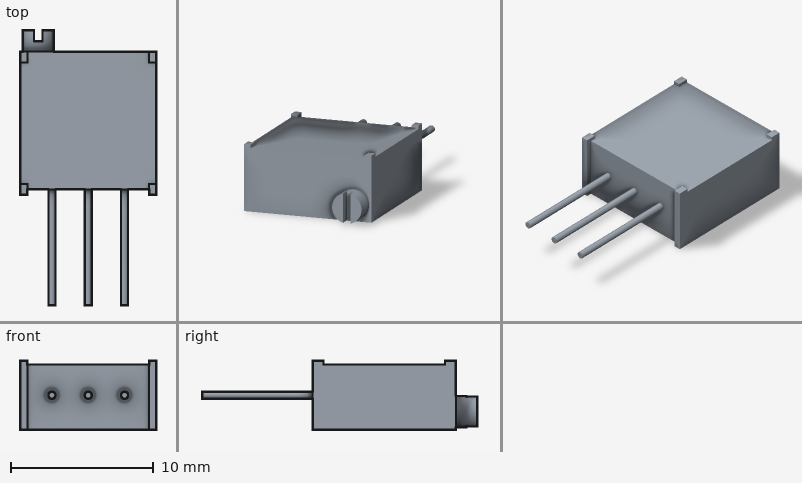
import cadquery as cq

overall_length = 19.27
housing_width = 9.54
housing_length = 10.04
housing_height = 4.84

corner_width = 0.5
foot_length = 0.77
foot_height = 0.25
front_recess = 0.39

screw_diameter = 2.2
screw_length = 1.5
screw_edge_offset = 1.27
slot_width = 0.58
slot_depth = 0.77

pin_count = 3
pin_diameter = 0.5
pin_pitch = 2.55
pin_height = housing_height / 2

half_width = housing_width / 2
top_face = housing_height - foot_height
pin_length = overall_length - screw_length - housing_length + front_recess
screw_end = housing_length + screw_length


def corner_box(x_min, y_min, z_min, width, length, height):
    """Box placed by its lowest corner."""
    box = cq.Workplane("XY").box(width, length, height, centered=False)
    return box.translate((x_min, y_min, z_min))


def make_housing():
    """Block with two front rails and a standoff foot on each top corner."""
    block_length = housing_length - front_recess
    housing = corner_box(-half_width, front_recess, 0, housing_width, block_length, top_face)
    for x_min in (-half_width, half_width - corner_width):
        rail = corner_box(x_min, 0, 0, corner_width, front_recess, top_face)
        housing = housing.union(rail)
        for y_min in (0, housing_length - foot_length):
            foot = corner_box(x_min, y_min, top_face, corner_width, foot_length, foot_height)
            housing = housing.union(foot)
    return housing.clean()


def make_y_cylinder(diameter, length, x, y_min, z):
    """Cylinder running in +Y from y_min."""
    return cq.Workplane(
        cq.Solid.makeCylinder(diameter / 2, length, cq.Vector(x, y_min, z), cq.Vector(0, 1, 0))
    )


def make_screw():
    """Round adjusting screw with a vertical screwdriver slot in its end."""
    screw_x = -half_width + screw_edge_offset
    screw = make_y_cylinder(screw_diameter, screw_length, screw_x, housing_length, screw_edge_offset)
    slot = corner_box(
        screw_x - slot_width / 2,
        screw_end - slot_depth,
        screw_edge_offset - screw_diameter / 2,
        slot_width,
        slot_depth,
        screw_diameter,
    )
    return screw.cut(slot)


def make_pin(x):
    """Round terminal pin standing on the recessed front face."""
    return make_y_cylinder(pin_diameter, pin_length, x, front_recess - pin_length, pin_height)


housing = make_housing()
screw = make_screw()
pins = []
for index in range(pin_count):
    pin_x = (index - (pin_count - 1) / 2) * pin_pitch
    pins.append(make_pin(pin_x).val())

result = cq.Compound.makeCompound([housing.val(), screw.val(), *pins])